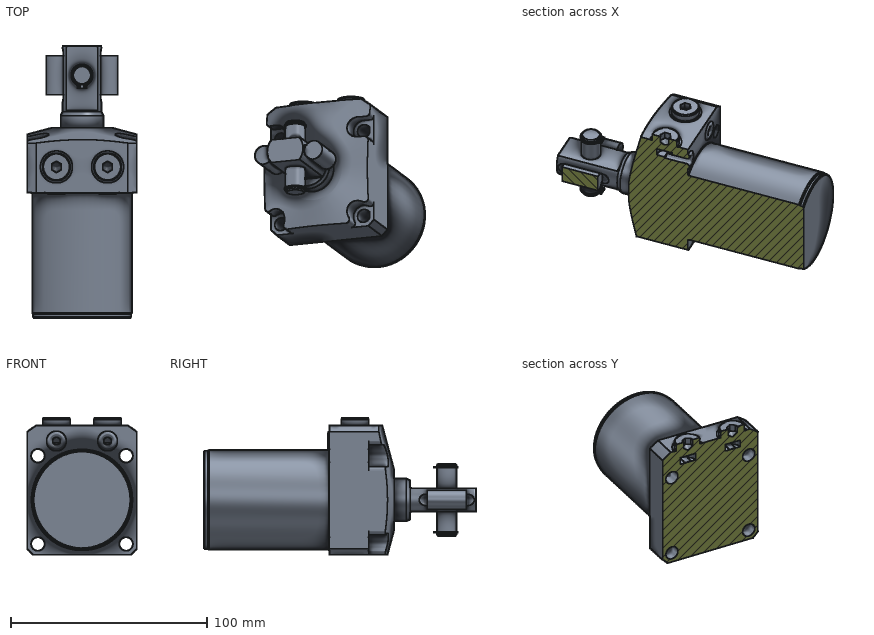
import cadquery as cq
import math


block_width = 56.0
block_below_axis = block_width / 2
block_above_axis = 38.0
block_length = 33.0
corner_chamfer = 3.0
turned_radius = 44.5
cone_start_radius = 15.4
cone_angle = 15.0

barrel_radius = 25.5
barrel_length = 64.0
collar_radius = 25.8
collar_length = 0.3
end_lip_radius = 25.1
end_lip_length = 2.0
end_lip_chamfer = 0.5
end_taper_length = 0.8

hole_offset = 22.5
hole_diameter = 6.8
wall_distance = block_width / 2 - hole_offset
pocket_radius = 5.5
pocket_rounding = 2.0
pocket_floor = 20.0

port_offset = 13.0
plug_y = 13.0
plug_radius = 7.1
plug_height = 3.7
plug_chamfer_height = 0.8
plug_chamfer = 0.4
seat_radius = 8.2
seat_depth = 0.1
socket_flats = 5.0
socket_depth = 3.5
socket_tip_depth = 2.1
port_z = 30.0
ring_mean_radius = 3.6
ring_section_radius = 1.7
ring_sink = 0.8
port_drill_radius = ring_mean_radius - ring_section_radius
chamber_radius = 4.3
chamber_floor_z = 29.1
chamber_top_z = 32.7

rod_radius = 11.0
tip_radius = 10.0
rod_tip_y = 74.8
rod_shoulder_y = 41.2
shoulder_chamfer_length = 2.1
tip_chamfer = 0.3
tip_chamfer_length = 1.0
flat_half_height = 6.0
flat_ramp_length = 0.8
flat_ramp_height = 0.4
flat_start_y = rod_shoulder_y + flat_ramp_length

pin_y = 59.8
pin_radius = 5.0
pin_half_length = 18.5
pin_chamfer_height = 0.8
pin_chamfer = 0.5
clip_outer_face = 16.8
clip_thickness = 0.4
clip_radius = 5.5
lug_reach = 6.7
lug_width = 4.7
lug_root_width = 6.4
lug_hole_diameter = 1.1
lug_hole_distance = 5.8
lug_hole_spacing = 2.8

roller_radius = 4.9
roller_length = 20.0
roller_offset = 13.5
groove_radius = roller_radius
groove_length = 21.2
roller_y = pin_y

SIDES = (-1, 1)


def cylinder_along_y(radius, start, end, x=0.0, z=0.0):
    return cq.Workplane("XZ", origin=(x, start, z)).circle(radius).extrude(start - end)


def cylinder_along_z(radius, start, end, x=0.0, y=0.0):
    return cq.Workplane("XY", origin=(x, y, start)).circle(radius).extrude(end - start)


def turned_about_y(profile):
    """Revolve an outline of (radius, y) points about the Y axis."""
    return cq.Workplane("XY").polyline(profile).close().revolve(360, (0, 0), (0, 1))


def make_block():
    height = block_below_axis + block_above_axis
    block = cq.Workplane("XY").box(block_width, block_length, height, centered=(True, False, False))
    block = block.translate((0, 0, -block_below_axis))
    block = block.edges("|Y and <Z").chamfer(corner_chamfer)
    rim_y = block_length - (turned_radius - cone_start_radius) * math.tan(math.radians(cone_angle))
    envelope = turned_about_y([
        (0, 0),
        (turned_radius, 0),
        (turned_radius, rim_y),
        (cone_start_radius, block_length),
        (0, block_length),
    ])
    return block.intersect(envelope)


def make_barrel():
    lip_y = end_lip_length - barrel_length
    return turned_about_y([
        (0, 0),
        (collar_radius, 0),
        (collar_radius, -collar_length),
        (barrel_radius, -collar_length),
        (barrel_radius, lip_y + end_taper_length),
        (end_lip_radius, lip_y),
        (end_lip_radius, end_lip_chamfer - barrel_length),
        (end_lip_radius - end_lip_chamfer, -barrel_length),
        (0, -barrel_length),
    ])


def pocket_sketch():
    """Sketch plane on the pocket floor, centred on the hole at +X, +Z; the sketch axes are X and Z."""
    return cq.Workplane("XZ", origin=(hole_offset, pocket_floor, hole_offset))


def upper_head_pocket():
    """U-shaped pocket that opens through the side wall, with rounded mouth edges."""
    flare_start = wall_distance - pocket_rounding
    flare_width = pocket_radius + pocket_rounding
    round_shift = pocket_rounding * math.sqrt(0.5)
    flare_mid = (flare_start + round_shift, flare_width - round_shift)
    return (
        pocket_sketch()
        .moveTo(wall_distance, flare_width)
        .threePointArc(flare_mid, (flare_start, pocket_radius))
        .lineTo(0, pocket_radius)
        .threePointArc((-pocket_radius, 0), (0, -pocket_radius))
        .lineTo(flare_start, -pocket_radius)
        .threePointArc((flare_mid[0], -flare_mid[1]), (wall_distance, -flare_width))
        .close()
        .extrude(pocket_floor - block_length)
    )


def lower_head_pocket():
    """Round pocket that takes away the block's corner and runs out to both walls in roundings.

    The outline is symmetric about the corner's diagonal. It is drawn for the corner at +X, +Z
    and turned down to -Z.
    """
    centre_distance = pocket_radius + pocket_rounding
    centre_x = wall_distance - pocket_rounding
    centre_z = -math.sqrt(centre_distance**2 - centre_x**2)
    tangent_x = centre_x * pocket_radius / centre_distance
    tangent_z = centre_z * pocket_radius / centre_distance
    middle_angle = (math.pi + math.atan2(centre_z, centre_x)) / 2
    middle_x = centre_x + pocket_rounding * math.cos(middle_angle)
    middle_z = centre_z + pocket_rounding * math.sin(middle_angle)
    far_side = -pocket_radius * math.sqrt(0.5)
    return (
        pocket_sketch()
        .moveTo(wall_distance, centre_z)
        .threePointArc((middle_x, middle_z), (tangent_x, tangent_z))
        .threePointArc((far_side, far_side), (tangent_z, tangent_x))
        .threePointArc((middle_z, middle_x), (centre_z, wall_distance))
        .lineTo(wall_distance, wall_distance)
        .close()
        .extrude(pocket_floor - block_length)
        .mirror("XY")
    )


def mounting_holes():
    """Four through holes with their head pockets."""
    right_pockets = [upper_head_pocket(), lower_head_pocket()]
    left_pockets = [pocket.mirror("YZ") for pocket in right_pockets]
    holes = [
        cylinder_along_y(hole_diameter / 2, 0, block_length, side * hole_offset, level * hole_offset)
        for side in SIDES
        for level in SIDES
    ]
    return holes + right_pockets + left_pockets


def port_plug(x):
    """Screw plug head, standing in its shallow seat."""
    top = block_above_axis + plug_height
    head = cylinder_along_z(plug_radius, block_above_axis - seat_depth, top, x, plug_y)
    return head.faces(">Z").chamfer(plug_chamfer_height, plug_chamfer)


def hexagon_socket(x):
    """Hexagon socket of a plug, ending in a cone."""
    top = block_above_axis + plug_height
    corner_radius = socket_flats / math.sqrt(3)
    depth = socket_depth + socket_tip_depth
    hexagon = cq.Workplane("XY", origin=(x, plug_y, top - depth))
    hexagon = hexagon.polygon(6, 2 * corner_radius).extrude(depth)
    hexagon = hexagon.rotate((x, plug_y, 0), (x, plug_y, 1), 90)
    pointed_drill = turned_about_y([
        (0, -depth),
        (corner_radius, -socket_depth),
        (corner_radius, 0),
        (0, 0),
    ]).rotate((0, 0, 0), (1, 0, 0), 90).translate((x, plug_y, top))
    return hexagon.intersect(pointed_drill)


def plug_seat(x):
    return cylinder_along_z(seat_radius, block_above_axis - seat_depth, block_above_axis, x, plug_y)


def oil_passage(x):
    """Chamber under the plug and the drilling that joins it to the mounting face."""
    chamber = cylinder_along_z(chamber_radius, chamber_floor_z, chamber_top_z, x, plug_y)
    drilling = cylinder_along_y(port_drill_radius, -ring_section_radius, plug_y, x, port_z)
    return chamber.union(drilling)


def sealing_ring(x):
    ring = cq.Solid.makeTorus(
        ring_mean_radius, ring_section_radius, cq.Vector(x, ring_sink, port_z), cq.Vector(0, 1, 0)
    )
    return cq.Workplane(obj=ring)


def ring_recess(x):
    return cylinder_along_y(ring_mean_radius, 0, ring_sink, x, port_z)


def make_housing():
    housing = make_block().union(make_barrel())
    for cutter in mounting_holes():
        housing = housing.cut(cutter)
    for side in SIDES:
        x = side * port_offset
        housing = housing.cut(plug_seat(x)).union(port_plug(x)).cut(hexagon_socket(x))
        housing = housing.cut(ring_recess(x)).union(sealing_ring(x)).cut(oil_passage(x))
    return housing


def rod_flat(level):
    """Material removed above or below the rod tip, ending in a short ramp at the shoulder."""
    outline = [
        (flat_start_y, flat_half_height),
        (rod_tip_y, flat_half_height),
        (rod_tip_y, tip_radius),
        (rod_shoulder_y, tip_radius),
        (rod_shoulder_y, flat_half_height + flat_ramp_height),
    ]
    outline = [(y, level * z) for y, z in outline]
    return cq.Workplane("YZ").polyline(outline).close().extrude(tip_radius, both=True)


def roller_groove(side):
    """Round groove with ball ends, one on each side of the rod tip."""
    x = side * roller_offset
    start = roller_y - groove_length / 2
    end = roller_y + groove_length / 2
    groove = cylinder_along_y(groove_radius, start, end, x)
    for y in (start, end):
        groove = groove.union(cq.Workplane("XY", origin=(x, y, 0)).sphere(groove_radius))
    return groove


def make_rod():
    rod = turned_about_y([
        (0, block_length),
        (rod_radius, block_length),
        (rod_radius, rod_shoulder_y - shoulder_chamfer_length),
        (tip_radius, rod_shoulder_y),
        (tip_radius, rod_tip_y - tip_chamfer_length),
        (tip_radius - tip_chamfer, rod_tip_y),
        (0, rod_tip_y),
    ])
    for side in SIDES:
        rod = rod.cut(rod_flat(side)).cut(roller_groove(side))
    return rod.cut(cylinder_along_z(pin_radius, -tip_radius, tip_radius, 0, pin_y))


def clip(level):
    """Retaining clip on the pin, with a two-hole lug that points to -Y."""
    inner_face = clip_outer_face - clip_thickness
    plate = cylinder_along_z(clip_radius, inner_face, clip_outer_face, 0, pin_y)
    lug = cq.Workplane("XY", origin=(0, pin_y, inner_face)).polyline([
        (-lug_root_width / 2, 0),
        (lug_root_width / 2, 0),
        (lug_width / 2, -lug_reach),
        (-lug_width / 2, -lug_reach),
    ]).close().extrude(clip_thickness)
    holes = cq.Workplane("XY", origin=(0, pin_y - lug_hole_distance, inner_face)).pushPoints([
        (side * lug_hole_spacing / 2, 0) for side in SIDES
    ]).circle(lug_hole_diameter / 2).extrude(clip_thickness)
    plate = plate.union(lug).cut(holes)
    if level < 0:
        plate = plate.mirror("XY")
    return plate


def make_cross_pin():
    pin = cylinder_along_z(pin_radius, -pin_half_length, pin_half_length, 0, pin_y)
    pin = pin.faces(">Z or <Z").chamfer(pin_chamfer_height, pin_chamfer)
    for level in SIDES:
        pin = pin.union(clip(level))
    return pin


def make_roller(side):
    start = roller_y - roller_length / 2
    return cylinder_along_y(roller_radius, start, start + roller_length, side * roller_offset)


housing = make_housing()
rod = make_rod()
cross_pin = make_cross_pin()
rollers = [make_roller(side) for side in SIDES]

result = cq.Compound.makeCompound([
    housing.val(),
    rod.val(),
    cross_pin.val(),
    *[roller.val() for roller in rollers],
])